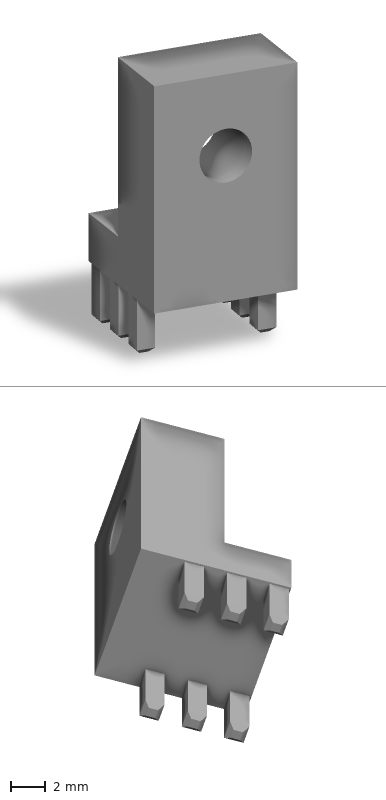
import cadquery as cq

total_height = 17.5
width = 9.0
body_height = 13.96
base_height = 2.95
wall_thickness = 5.0

hole_diameter = 3.3
hole_below_top = 5.0

pin_side = 1.15
pin_pitch = 2.54
row_spacing = 7.61
first_pin_inset = 0.7
tip_chamfer = 0.3
pins_per_row = 3

pin_length = total_height - body_height


def make_body():
    """L-shaped block with its lower face at Z = 0 and the wall on the +X side."""
    step_x = width / 2 - wall_thickness
    return (
        cq.Workplane("XZ")
        .moveTo(-width / 2, 0)
        .lineTo(width / 2, 0)
        .lineTo(width / 2, body_height)
        .lineTo(step_x, body_height)
        .lineTo(step_x, base_height)
        .lineTo(-width / 2, base_height)
        .close()
        .extrude(width / 2, both=True)
    )


def make_mounting_hole():
    """Cylinder along X that passes through the wall."""
    return (
        cq.Workplane("YZ", origin=(-width / 2, 0, body_height - hole_below_top))
        .circle(hole_diameter / 2)
        .extrude(width)
    )


def make_pin(x, y):
    """Square pin hanging below the block, with a chamfered tip."""
    return (
        cq.Workplane("XY", origin=(x, y, 0))
        .rect(pin_side, pin_side)
        .extrude(-pin_length)
        .faces("<Z")
        .chamfer(tip_chamfer)
    )


result = make_body().cut(make_mounting_hole())
for row_y in (-row_spacing / 2, row_spacing / 2):
    for index in range(pins_per_row):
        pin_x = -width / 2 + first_pin_inset + index * pin_pitch
        result = result.union(make_pin(pin_x, row_y))